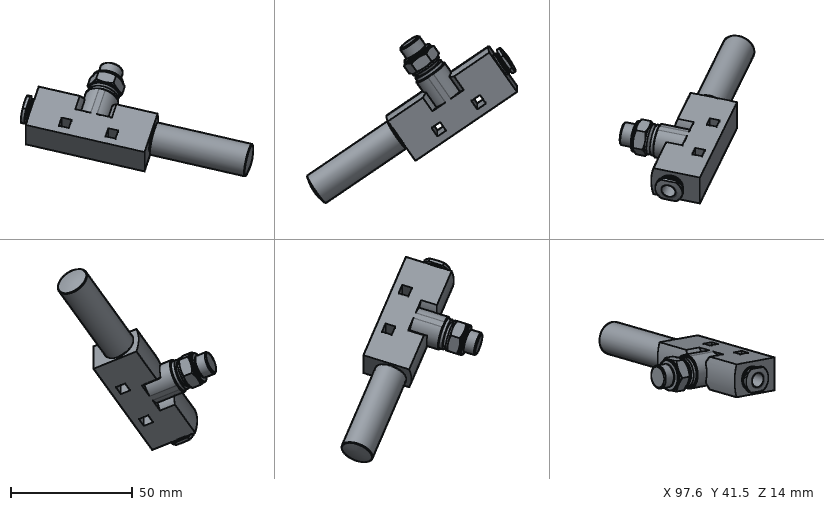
import cadquery as cq
import math

body_length = 51.0
body_depth = 21.2
body_height = 14.0
back_edge_y = 20.15

square_side = 4.3
square_spacing = 20.0
square_y = 5.45

side_port_x = body_length / 2
end_port_y = 12.3

recess_floor_y = 13.2
shoulder_radius = 10.0
shoulder_offset = 15.0

barrel_diameter = 14.25
barrel_end_y = 26.2
barrel_chamfer = 0.3
collar_diameter = 13.0
collar_end_y = 27.65
cone_small_diameter = 10.0
nut_start_y = 30.0
nut_end_y = 35.0
nut_across_flats = 13.0
nut_bevel_angle = 30.0
washer_end_y = 36.0
washer_chamfer_length = 0.35
washer_chamfer_depth = 0.2
thread_start_y = 36.5
thread_diameter = 9.73
thread_neck_diameter = 8.8
thread_chamfer = 0.55
side_fitting_end_y = 41.5

release_end = 4.2
release_rim = 3.85
release_back = 2.35
release_diameter = 11.8
release_face_diameter = 7.0
release_flats = 10.0
release_neck_diameter = 8.1
ring_length = 1.5
ring_diameter = 10.0
ring_bevel_length = 0.6
ring_bevel_depth = 0.2
tube_bore_diameter = 6.0
tube_bore_depth = 14.0

silencer_neck_diameter = 11.4
silencer_neck_length = 0.8
silencer_neck_bevel_length = 0.45
silencer_neck_bevel_depth = 0.2
silencer_diameter = 13.8
silencer_end = 42.4
silencer_bevel = 0.3
dome_height = 1.05


def turned(profile, axis_start, axis_end):
    """Solid of revolution of a closed XY profile about the line between two XY points."""
    return profile.close().revolve(360, axis_start, axis_end)


def make_body():
    """Block with a bowed +Y side, extruded along X."""
    half_height = body_height / 2
    return (
        cq.Workplane("YZ")
        .moveTo(0, -half_height)
        .lineTo(back_edge_y, -half_height)
        .threePointArc((body_depth, 0), (back_edge_y, half_height))
        .lineTo(0, half_height)
        .close()
        .extrude(body_length)
    )


def make_recess():
    """Space between two round shoulders, from the recess floor out through the +Y side."""
    length = body_depth - recess_floor_y
    recess = (
        cq.Workplane("XY")
        .box(2 * shoulder_offset, length, body_height, centered=(True, False, True))
        .translate((side_port_x, recess_floor_y, 0))
    )
    for side in (-1, 1):
        shoulder = (
            cq.Workplane("XZ")
            .center(side_port_x + side * shoulder_offset, 0)
            .circle(shoulder_radius)
            .extrude(-body_depth)
        )
        recess = recess.cut(shoulder)
    return recess


def make_square_holes():
    """Square prisms for the two mounting holes."""
    half_spacing = square_spacing / 2
    return (
        cq.Workplane("XY")
        .pushPoints([(side_port_x - half_spacing, square_y), (side_port_x + half_spacing, square_y)])
        .rect(square_side, square_side)
        .extrude(body_height, both=True)
    )


def make_barrel():
    """Round barrel trimmed flush with the top and bottom of the body."""
    barrel = (
        cq.Workplane("XZ", origin=(side_port_x, recess_floor_y, 0))
        .circle(barrel_diameter / 2)
        .extrude(recess_floor_y - barrel_end_y)
        .faces(">Y")
        .chamfer(barrel_chamfer)
    )
    trim = cq.Workplane("XY").box(2 * body_length, 2 * side_fitting_end_y, body_height)
    trim = trim.translate((0, side_fitting_end_y, 0))
    return barrel.intersect(trim)


def make_nut():
    """Hexagon with corners on the X axis, bevelled at both ends."""
    length = nut_end_y - nut_start_y
    corner_radius = nut_across_flats / math.sqrt(3)
    flat_radius = nut_across_flats / 2
    bevel = (corner_radius - flat_radius) * math.tan(math.radians(nut_bevel_angle))
    hexagon = (
        cq.Workplane("XZ", origin=(0, nut_start_y, 0))
        .polygon(6, 2 * corner_radius)
        .extrude(-length)
    )
    envelope = turned(
        cq.Workplane("XY")
        .moveTo(0, nut_start_y)
        .lineTo(flat_radius, nut_start_y)
        .lineTo(corner_radius, nut_start_y + bevel)
        .lineTo(corner_radius, nut_end_y - bevel)
        .lineTo(flat_radius, nut_end_y)
        .lineTo(0, nut_end_y),
        (0, 0),
        (0, 1),
    )
    return hexagon.intersect(envelope).translate((side_port_x, 0, 0))


def make_side_fitting():
    """Barrel, collar, cone, nut, washer face and threaded end along +Y."""
    collar_radius = collar_diameter / 2
    cone_radius = cone_small_diameter / 2
    neck_radius = thread_neck_diameter / 2
    thread_radius = thread_diameter / 2
    cone_end_y = collar_end_y + collar_radius - cone_radius
    stem = turned(
        cq.Workplane("XY")
        .moveTo(0, recess_floor_y)
        .lineTo(collar_radius, recess_floor_y)
        .lineTo(collar_radius, collar_end_y)
        .lineTo(cone_radius, collar_end_y)
        .lineTo(collar_radius, cone_end_y)
        .lineTo(collar_radius, washer_end_y - washer_chamfer_length)
        .lineTo(collar_radius - washer_chamfer_depth, washer_end_y)
        .lineTo(neck_radius, washer_end_y)
        .lineTo(neck_radius, thread_start_y)
        .lineTo(thread_radius, thread_start_y)
        .lineTo(thread_radius, side_fitting_end_y - thread_chamfer)
        .lineTo(thread_radius - thread_chamfer, side_fitting_end_y)
        .lineTo(0, side_fitting_end_y),
        (0, 0),
        (0, 1),
    ).translate((side_port_x, 0, 0))
    return stem.union(make_barrel()).union(make_nut())


def make_push_in_fitting():
    """Ring, neck and release collar with two flats, along -X."""
    ring_radius = ring_diameter / 2
    neck_radius = release_neck_diameter / 2
    release_radius = release_diameter / 2
    fitting = turned(
        cq.Workplane("XY")
        .moveTo(0, 0)
        .lineTo(0, ring_radius)
        .lineTo(ring_bevel_length - ring_length, ring_radius)
        .lineTo(-ring_length, ring_radius - ring_bevel_depth)
        .lineTo(-ring_length, neck_radius)
        .lineTo(-release_back, neck_radius)
        .lineTo(-release_back, release_radius)
        .lineTo(-release_rim, release_radius)
        .lineTo(-release_end, release_face_diameter / 2)
        .lineTo(-release_end, 0),
        (0, 0),
        (1, 0),
    )
    flats = cq.Workplane("XY").box(4 * release_end, 2 * release_diameter, release_flats)
    return fitting.intersect(flats).translate((0, end_port_y, 0))


def make_tube_bore():
    """Cylinder for the blind tube bore, open toward -X."""
    return (
        cq.Workplane("YZ", origin=(-release_end, end_port_y, 0))
        .circle(tube_bore_diameter / 2)
        .extrude(tube_bore_depth)
    )


def make_silencer():
    """Neck and long cylinder with a bevelled, domed end, along +X."""
    neck_radius = silencer_neck_diameter / 2
    radius = silencer_diameter / 2
    rim_radius = radius - silencer_bevel
    dome_start = silencer_end - dome_height
    dome_radius = (rim_radius**2 + dome_height**2) / (2 * dome_height)
    mid_radius = rim_radius / 2
    mid_drop = dome_radius - math.sqrt(dome_radius**2 - mid_radius**2)
    return turned(
        cq.Workplane("XY")
        .moveTo(0, 0)
        .lineTo(0, neck_radius - silencer_neck_bevel_depth)
        .lineTo(silencer_neck_bevel_length, neck_radius)
        .lineTo(silencer_neck_length, neck_radius)
        .lineTo(silencer_neck_length, radius)
        .lineTo(dome_start - silencer_bevel, radius)
        .lineTo(dome_start, rim_radius)
        .threePointArc((silencer_end - mid_drop, mid_radius), (silencer_end, 0)),
        (0, 0),
        (1, 0),
    ).translate((body_length, end_port_y, 0))


result = (
    make_body()
    .cut(make_recess())
    .cut(make_square_holes())
    .union(make_side_fitting())
    .union(make_push_in_fitting())
    .union(make_silencer())
    .cut(make_tube_bore())
)